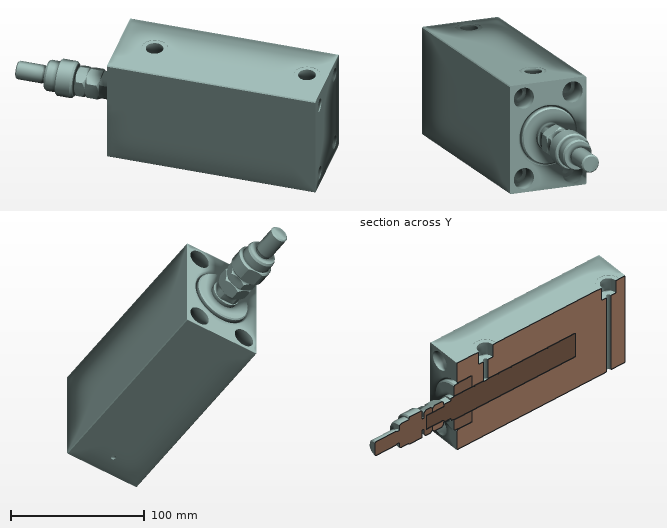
import cadquery as cq
import math


total_length = 242.0
housing_front = 79.1
housing_length = total_length - housing_front
housing_width = 63.0
housing_height = 85.0
housing_edge_chamfer = 0.7

screw_spacing_y = 40.0
screw_spacing_z = 63.2
screw_hole_diameter = 10.5
screw_head_diameter = 16.5
screw_head_depth = 14.5

front_port_x = 107.2
rear_port_x = 226.3
port_diameter = 13.3
port_depth = 12.0
port_spotface_diameter = 20.0
port_spotface_depth = 0.2
port_drill_diameter = 3.9

gland_diameter = 44.5
gland_front = 76.2
gland_length = 17.5
gland_edge_chamfer = 1.0
gland_seat_chamfer = 1.5

rod_diameter = 22.3
rod_collar_front = 73.0
rod_end = 193.5
rod_neck_diameter = 20.8
rod_flats_width = 17.7
stud_diameter = 14.0
stud_engagement = 6.0

hex_across_flats = 22.0
hex_chamfer = 1.82
nut_front = 55.7
nut_length = 11.0
nut_back = nut_front + nut_length

spigot_diameter = 14.0
spigot_chamfer = 1.0
spigot_length = 20.3
undercut_diameter = 12.3
undercut_taper = 1.7
sleeve_start = 23.5
sleeve_diameter = 23.7
sleeve_chamfer_length = 1.7
sleeve_chamfer_depth = 1.0
case_start = 32.7
case_diameter = 28.3
case_end = 46.0
case_front_chamfer = 1.0
case_back_chamfer = 1.5
case_flat_height = 12.8
coupling_neck_diameter = 11.1
coupling_hex_start = 47.5


def rod_along_x(start, end, diameter):
    """Plain cylinder on the X axis."""
    return cq.Workplane("YZ", origin=(start, 0, 0)).circle(diameter / 2).extrude(end - start)


def chamfered_hexagon(start, end):
    """Hexagon with corners up and down, its corners turned off at both ends."""
    corner_radius = hex_across_flats / math.sqrt(3)
    prism = (
        cq.Workplane("YZ", origin=(start, 0, 0))
        .polygon(6, 2 * corner_radius)
        .extrude(end - start)
        .rotate((0, 0, 0), (1, 0, 0), 90)
    )
    turned = rod_along_x(start, end, 2 * corner_radius).faces("<X or >X").chamfer(hex_chamfer)
    return prism.intersect(turned)


def make_housing():
    block = (
        cq.Workplane("XY")
        .box(housing_length, housing_width, housing_height)
        .translate((housing_front + housing_length / 2, 0, 0))
        .edges("|X")
        .chamfer(housing_edge_chamfer)
    )

    block = (
        block.faces("<X")
        .workplane(centerOption="CenterOfBoundBox")
        .rect(screw_spacing_y, screw_spacing_z, forConstruction=True)
        .vertices()
        .cboreHole(screw_hole_diameter, screw_head_diameter, screw_head_depth)
    )

    block = block.cut(rod_along_x(housing_front, gland_front + gland_length, gland_diameter))
    seat_chamfer = cq.Solid.makeCone(
        gland_diameter / 2 + gland_seat_chamfer,
        gland_diameter / 2,
        gland_seat_chamfer,
        pnt=cq.Vector(housing_front, 0, 0),
        dir=cq.Vector(1, 0, 0),
    )
    block = block.cut(cq.Workplane(seat_chamfer))
    block = block.cut(rod_along_x(housing_front, rod_end, rod_diameter))

    top = housing_height / 2
    for port_x, drill_depth in ((front_port_x, top), (rear_port_x, housing_height)):
        port = cq.Workplane("XY", origin=(port_x, 0, top))
        block = block.cut(port.circle(port_spotface_diameter / 2).extrude(-port_spotface_depth))
        block = block.cut(port.circle(port_diameter / 2).extrude(-port_depth))
        block = block.cut(port.circle(port_drill_diameter / 2).extrude(-drill_depth))
    return block


def make_gland():
    disc = rod_along_x(gland_front, gland_front + gland_length, gland_diameter)
    disc = disc.faces("<X").chamfer(gland_edge_chamfer)
    return disc.cut(rod_along_x(gland_front, gland_front + gland_length, rod_diameter))


def make_rod():
    """Rod with four spanner flats in front of its collar and a stud for the nut and coupling."""
    flats = cq.Workplane("XY").box(rod_collar_front - nut_back, rod_flats_width, rod_flats_width)
    flats = flats.translate(((rod_collar_front + nut_back) / 2, 0, 0))
    neck = rod_along_x(nut_back, rod_collar_front, rod_neck_diameter).intersect(flats)
    stud = rod_along_x(nut_front - stud_engagement, nut_back, stud_diameter)
    return rod_along_x(rod_collar_front, rod_end, rod_diameter).union(neck).union(stud)


def make_nut():
    return chamfered_hexagon(nut_front, nut_back).cut(
        rod_along_x(nut_front, nut_back, stud_diameter)
    )


def make_coupling():
    spigot_radius = spigot_diameter / 2
    undercut_radius = undercut_diameter / 2
    sleeve_radius = sleeve_diameter / 2
    case_radius = case_diameter / 2
    neck_radius = coupling_neck_diameter / 2
    profile = [
        (0, 0),
        (0, spigot_radius - spigot_chamfer),
        (spigot_chamfer, spigot_radius),
        (spigot_length, spigot_radius),
        (spigot_length + undercut_taper, undercut_radius),
        (sleeve_start, undercut_radius),
        (sleeve_start, sleeve_radius - sleeve_chamfer_depth),
        (sleeve_start + sleeve_chamfer_length, sleeve_radius),
        (case_start, sleeve_radius),
        (case_start, case_radius - case_front_chamfer),
        (case_start + case_front_chamfer, case_radius),
        (case_end - case_back_chamfer, case_radius),
        (case_end, case_radius - case_back_chamfer),
        (case_end, neck_radius),
        (coupling_hex_start, neck_radius),
        (coupling_hex_start, 0),
    ]
    turned = cq.Workplane("XZ").polyline(profile).close().revolve(360, (0, 0, 0), (1, 0, 0))

    below_flat = (
        cq.Workplane("XY", origin=(0, 0, -case_flat_height))
        .rect(2 * nut_front, 2 * case_diameter)
        .extrude(-case_diameter)
    )
    hexagon = chamfered_hexagon(coupling_hex_start, nut_front)
    socket = rod_along_x(nut_front - stud_engagement, nut_front, stud_diameter)
    return turned.cut(below_flat).union(hexagon).cut(socket)


housing = make_housing()
gland = make_gland()
rod = make_rod()
nut = make_nut()
coupling = make_coupling()

result = cq.Compound.makeCompound(
    [housing.val(), gland.val(), rod.val(), nut.val(), coupling.val()]
)